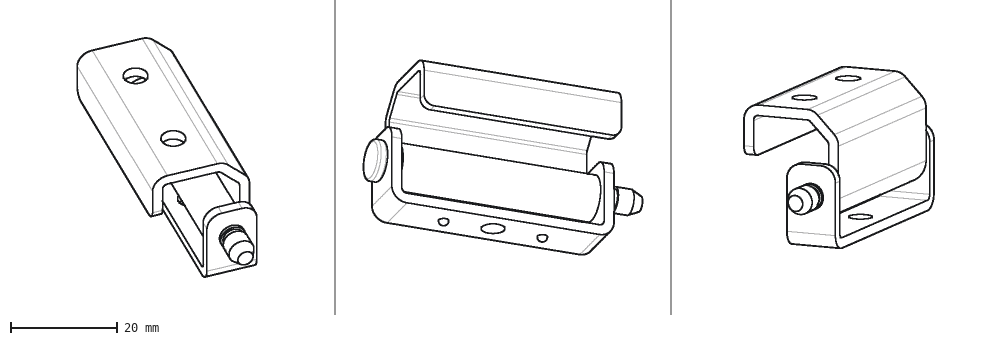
import cadquery as cq
import math


sheet = 2.0
bend_inner = 1.0
bend_outer = bend_inner + sheet

bracket_length = 45.0
bracket_width = 10.05
bracket_height = 16.1
ear_corner_radius = 3.0
floor_hole_diameter = 4.45
bump_radius = 1.0
bump_spacing = 20.0

total_length = 54.5
pin_z = 10.05
pin_diameter = 5.0
head_diameter = 8.0
head_thickness = 2.0
head_fillet = 0.5
head_gap = 0.25
groove_offset = 0.65
groove_width = 1.25
groove_diameter = 4.1
taper_length = 2.1
tip_diameter = 3.05

leaf_length = 40.0
leaf_top = 26.1
overall_depth = 20.0
flange_height = 10.05
flange_corner_radius = 2.0
slope_start_y = -0.7
knuckle_diameter = 9.0
knuckle_z = 9.55
screw_hole_diameter = 4.65
screw_hole_spacing = 20.0
screw_hole_y = -7.05

bracket_end = bracket_length / 2
head_face_x = -bracket_end - head_gap - head_thickness
tip_x = head_face_x + total_length
leaf_back = knuckle_diameter / 2
leaf_front = bracket_width / 2 - overall_depth
flange_bottom = leaf_top - flange_height
slope_end_z = leaf_top - (leaf_back - slope_start_y)
half_bend_angle = 22.5
inner_slope_shift = sheet * math.tan(math.radians(half_bend_angle))


def x_cylinder(radius, length, start_x, z):
    """Cylinder along +X with its axis at Y = 0."""
    return cq.Workplane("YZ", origin=(start_x, 0, z)).circle(radius).extrude(length)


def make_bracket():
    """U-shaped bracket with rounded ears, pin holes and bumps underneath."""
    outer = cq.Workplane("XY").box(
        bracket_length, bracket_width, bracket_height, centered=(True, True, False)
    )
    outer = outer.edges("|Y and <Z").fillet(bend_outer)
    inner = (
        cq.Workplane("XY", origin=(0, 0, sheet))
        .box(bracket_length - 2 * sheet, bracket_width, bracket_height, centered=(True, True, False))
        .edges("|Y and <Z")
        .fillet(bend_inner)
    )
    bracket = outer.cut(inner).edges("|X and >Z").fillet(ear_corner_radius)

    bracket = bracket.cut(x_cylinder(pin_diameter / 2, bracket_length, -bracket_end, pin_z))
    floor_hole = cq.Workplane("XY").circle(floor_hole_diameter / 2).extrude(sheet)
    bracket = bracket.cut(floor_hole)

    for side in (-1, 1):
        bump = cq.Workplane("XY").sphere(bump_radius).translate((side * bump_spacing / 2, 0, 0))
        bracket = bracket.union(bump)
    return bracket


def make_leaf():
    """Bent hinge leaf: flange, flat top, sloped shoulder, back wall and knuckle."""
    outer_bends = [(leaf_front, leaf_top), (slope_start_y, leaf_top), (leaf_back, slope_end_z)]
    inner_bends = [
        (leaf_back - sheet, slope_end_z - inner_slope_shift),
        (slope_start_y - inner_slope_shift, leaf_top - sheet),
        (leaf_front + sheet, leaf_top - sheet),
    ]
    profile = (
        [(leaf_front, flange_bottom)]
        + outer_bends
        + [(leaf_back, knuckle_z), (leaf_back - sheet, knuckle_z)]
        + inner_bends
        + [(leaf_front + sheet, flange_bottom)]
    )
    start_x = -leaf_length / 2
    leaf = cq.Workplane("YZ", origin=(start_x, 0, 0)).polyline(profile).close().extrude(leaf_length)
    for bends, radius in ((outer_bends, bend_outer), (inner_bends, bend_inner)):
        for y, z in bends:
            leaf = leaf.edges(cq.NearestToPointSelector((0, y, z))).fillet(radius)

    mid_flange_y = leaf_front + sheet / 2
    for side in (-1, 1):
        corner = (side * leaf_length / 2, mid_flange_y, flange_bottom)
        leaf = leaf.edges(cq.NearestToPointSelector(corner)).fillet(flange_corner_radius)

    leaf = leaf.union(x_cylinder(knuckle_diameter / 2, leaf_length, start_x, knuckle_z))
    leaf = leaf.cut(x_cylinder(pin_diameter / 2, leaf_length, start_x, pin_z))

    for side in (-1, 1):
        screw_hole = (
            cq.Workplane("XY", origin=(side * screw_hole_spacing / 2, screw_hole_y, leaf_top - sheet))
            .circle(screw_hole_diameter / 2)
            .extrude(sheet)
        )
        leaf = leaf.cut(screw_hole)
    return leaf


def make_pin():
    """Headed pin with a retaining groove and a tapered tip."""
    head = x_cylinder(head_diameter / 2, head_thickness, head_face_x, pin_z)
    head = head.edges().fillet(head_fillet)
    shank_start = head_face_x + head_thickness
    groove_start = bracket_end + groove_offset
    groove_end = groove_start + groove_width
    shank_outline = [
        (shank_start, 0),
        (shank_start, pin_diameter / 2),
        (groove_start, pin_diameter / 2),
        (groove_start, groove_diameter / 2),
        (groove_end, groove_diameter / 2),
        (groove_end, pin_diameter / 2),
        (tip_x - taper_length, pin_diameter / 2),
        (tip_x, tip_diameter / 2),
        (tip_x, 0),
    ]
    shank = (
        cq.Workplane("XZ")
        .polyline(shank_outline)
        .close()
        .revolve(360, (0, 0), (1, 0))
        .translate((0, 0, pin_z))
    )
    return head.union(shank)


bracket = make_bracket()
leaf = make_leaf()
pin = make_pin()

result = cq.Compound.makeCompound([bracket.solids().val(), leaf.solids().val(), pin.solids().val()])